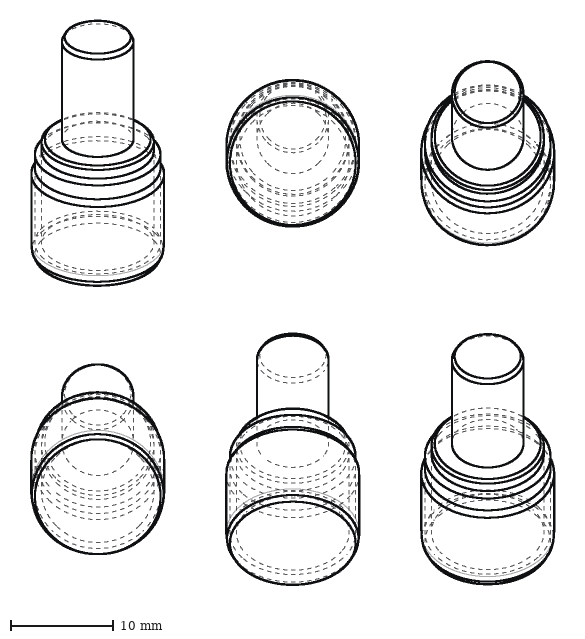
import cadquery as cq

TOTAL_HEIGHT = 24.5
HOUSING_DIAMETER = 13.0
SLEEVE_DIAMETER = 12.3
FLANGE_DIAMETER = 11.0
PIN_DIAMETER = 7.0

LEAD_IN_HEIGHT = 0.61
TAPER_TOP = 1.35
BODY_TOP = 9.1
HOUSING_TOP = 9.75
BOTTOM_DIAMETER = SLEEVE_DIAMETER
TAPER_DIAMETER = 12.86
FLOOR_THICKNESS = TAPER_TOP

SLEEVE_SHOULDER = 11.32
SLEEVE_TOP = 11.7

FLANGE_TOP = 13.0
FLANGE_CHAMFER = 0.32
TIP_CHAMFER_HEIGHT = 0.51
TIP_CHAMFER_WIDTH = 0.27


def turned(outline):
    """Solid of revolution about Z from (radius, height) points."""
    return cq.Workplane("XZ").polyline(outline).close().revolve(360, (0, 0), (0, 1))


def make_housing():
    """Cup with a tapered outside and a blind bore for the sleeve."""
    body_radius = HOUSING_DIAMETER / 2
    bore_radius = SLEEVE_DIAMETER / 2
    return turned([
        (0, 0),
        (BOTTOM_DIAMETER / 2, 0),
        (TAPER_DIAMETER / 2, LEAD_IN_HEIGHT),
        (body_radius, TAPER_TOP),
        (body_radius, BODY_TOP),
        (bore_radius, HOUSING_TOP),
        (bore_radius, FLOOR_THICKNESS),
        (0, FLOOR_THICKNESS),
    ])


def make_sleeve():
    """Ring between the housing bore and the pin flange, sloped on top."""
    outer_radius = SLEEVE_DIAMETER / 2
    inner_radius = FLANGE_DIAMETER / 2
    return turned([
        (inner_radius, FLOOR_THICKNESS),
        (outer_radius, FLOOR_THICKNESS),
        (outer_radius, SLEEVE_SHOULDER),
        (inner_radius, SLEEVE_TOP),
    ])


def make_pin():
    """Stepped pin: wide flange inside the sleeve, slim shank with a chamfered tip."""
    flange_radius = FLANGE_DIAMETER / 2
    shank_radius = PIN_DIAMETER / 2
    return turned([
        (0, FLOOR_THICKNESS),
        (flange_radius, FLOOR_THICKNESS),
        (flange_radius, FLANGE_TOP - FLANGE_CHAMFER),
        (flange_radius - FLANGE_CHAMFER, FLANGE_TOP),
        (shank_radius, FLANGE_TOP),
        (shank_radius, TOTAL_HEIGHT - TIP_CHAMFER_HEIGHT),
        (shank_radius - TIP_CHAMFER_WIDTH, TOTAL_HEIGHT),
        (0, TOTAL_HEIGHT),
    ])


housing = make_housing()
sleeve = make_sleeve()
pin = make_pin()

result = cq.Compound.makeCompound([housing.val(), sleeve.val(), pin.val()])